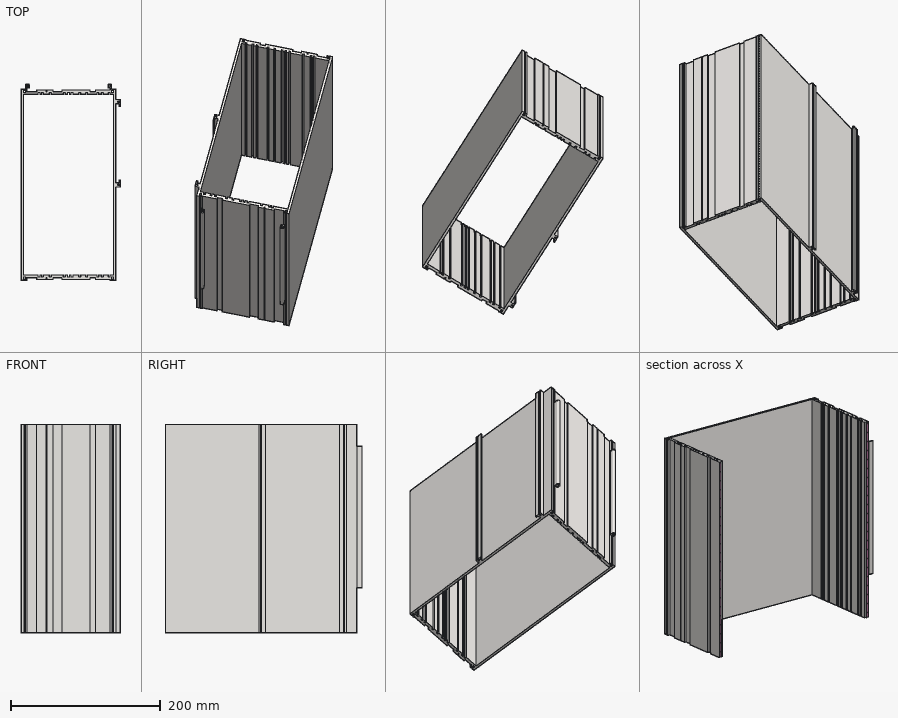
import cadquery as cq

HEIGHT = 278.0
WIDTH = 126.5
DEPTH = 255.2
WALL = 3.3

FACE_INSET = 0.97
RECESS_INSET = 3.3
GROOVE_FLOOR = 4.7
PANEL_INSIDE = 7.2

CHANNEL_WIDTH = 2.5
CHANNEL_SHOULDER = 1.8
CHANNEL_FLOOR = 4.5
MOUTH_WIDTH = 1.5
LIP = 2.0
LIP_START = WALL + CHANNEL_WIDTH
LIP_END = LIP_START + LIP

OUTER_RECESSES = [(LIP_END, 20.5), (42.5, 54.2), (92.0, 99.0)]
SLIT_X = 34.0
SLIT_WIDTH = 1.0

INNER_GROOVES = [24.0, 28.4, 39.0, 57.5, 63.0, 67.8, 78.0, 87.3, 102.3, 108.1, 117.3]
GROOVE_WIDTH = 2.2

EYELET_REACH = 7.0
EYELET_WIDTH = 5.0
EYELET_HEAD = 5.8
EYELET_ROUND = 1.7
EYELET_HOLE = 2.5
EYELET_BOTTOM = 60.0
EYELET_LENGTH = 189.0

RAIL_REACH = 5.8
RAIL_STEM = 5.8
RAIL_LENGTH = 9.2
RAIL_FILLET = 0.8
RAIL_FLANGE = 2.0
RAIL_SLOT_WIDTH = 1.5
RAIL_SLOT_DEPTH = 3.3
RAIL_REAR_OFFSET = 14.0
RAIL_FRONT_OFFSET = 130.7
RAIL_REAR_Y = DEPTH - RAIL_REAR_OFFSET
RAIL_FRONT_Y = DEPTH - RAIL_FRONT_OFFSET


def bar(x_start, x_end, y_start, y_end, z_start=0.0, length=HEIGHT):
    """Upright rectangular bar between the given limits in X and Y."""
    return (
        cq.Workplane("XY")
        .box(x_end - x_start, y_end - y_start, length, centered=False)
        .translate((x_start, y_start, z_start))
    )


def centred_bar(x_centre, width, y_start, y_end):
    return bar(x_centre - width / 2, x_centre + width / 2, y_start, y_end)


def mirror_across(body):
    """Mirror left to right about the middle of the housing."""
    return body.mirror("YZ", (WIDTH / 2, 0, 0))


def corner_channel():
    """Screw channel beside the left wall: a cavity with a narrower mouth."""
    cavity = bar(WALL, LIP_START, CHANNEL_SHOULDER, CHANNEL_FLOOR)
    mouth = centred_bar(WALL + CHANNEL_WIDTH / 2, MOUTH_WIDTH, 0, CHANNEL_SHOULDER)
    return cavity.union(mouth)


def front_panel():
    corner = bar(WALL, LIP_END, 0, PANEL_INSIDE)
    panel = bar(WALL, WIDTH - WALL, FACE_INSET, PANEL_INSIDE)
    panel = panel.union(corner).union(mirror_across(corner))
    for x_start, x_end in OUTER_RECESSES:
        panel = panel.cut(bar(x_start, x_end, 0, RECESS_INSET))
    for x_centre in INNER_GROOVES:
        panel = panel.cut(centred_bar(x_centre, GROOVE_WIDTH, GROOVE_FLOOR, PANEL_INSIDE))
    panel = panel.cut(centred_bar(SLIT_X, SLIT_WIDTH, 0, RECESS_INSET))
    channel = corner_channel()
    return panel.cut(channel).cut(mirror_across(channel))


def rear_eyelet():
    """Left eyelet: a stem rising from the channel lip to a rounded head with a hole."""
    top = DEPTH + EYELET_REACH
    head_end = LIP_START + EYELET_WIDTH
    head_start = top - EYELET_HEAD
    span = (EYELET_BOTTOM, EYELET_LENGTH)
    stem = bar(LIP_START, LIP_END, DEPTH - FACE_INSET, head_start, *span)
    head = bar(LIP_START, head_end, head_start, top, *span)
    head = head.edges("|Z and >Y").fillet(EYELET_ROUND)
    head = head.faces(">Z").workplane(centerOption="CenterOfBoundBox").hole(EYELET_HOLE)
    return head.union(stem)


def side_rail(y_outer, direction):
    """Rail on the +X wall; its flange points along Y in the given direction."""
    outer_x = WIDTH + RAIL_REACH
    slot_near = y_outer + direction * (RAIL_STEM - RAIL_SLOT_WIDTH) / 2
    slot_far = slot_near + direction * RAIL_SLOT_WIDTH
    rail = (
        cq.Workplane("XY")
        .moveTo(WIDTH, y_outer)
        .lineTo(outer_x, y_outer)
        .lineTo(outer_x, slot_near)
        .lineTo(outer_x - RAIL_SLOT_DEPTH, slot_near)
        .lineTo(outer_x - RAIL_SLOT_DEPTH, slot_far)
        .lineTo(outer_x, slot_far)
        .lineTo(outer_x, y_outer + direction * RAIL_LENGTH)
        .lineTo(outer_x - RAIL_FLANGE, y_outer + direction * RAIL_LENGTH)
        .lineTo(outer_x - RAIL_FLANGE, y_outer + direction * RAIL_STEM)
        .lineTo(WIDTH, y_outer + direction * RAIL_STEM)
        .close()
        .extrude(HEIGHT)
    )
    corner_x = outer_x - RAIL_FLANGE
    corner_y = y_outer + direction * RAIL_STEM
    corner = cq.selectors.NearestToPointSelector((corner_x, corner_y, HEIGHT / 2))
    return rail.edges("|Z").edges(corner).fillet(RAIL_FILLET)


left_wall = bar(0, WALL, 0, DEPTH)
front = front_panel()
rear = front.mirror("XZ", (0, DEPTH / 2, 0))
left_eyelet = rear_eyelet()

result = left_wall.union(mirror_across(left_wall)).union(front).union(rear)
result = result.union(left_eyelet).union(mirror_across(left_eyelet))
result = result.union(side_rail(RAIL_REAR_Y, -1)).union(side_rail(RAIL_FRONT_Y, 1))